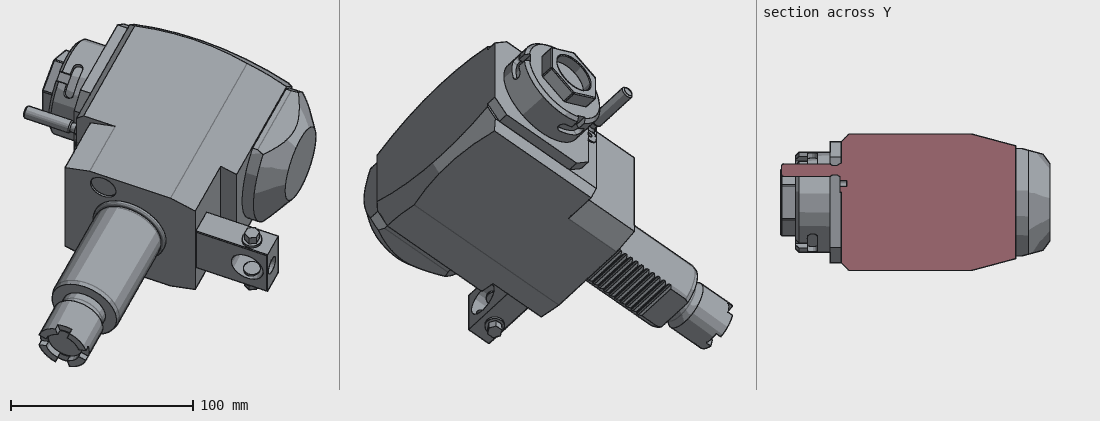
import cadquery as cq
import math


HALF_HEIGHT = 37.5
BACK_Y = 114.0
STEP_Y = 35.0
SPINDLE_Y = 80.0
LEFT_X = -47.4
RIGHT_X = 48.5
FRONT_HALF_WIDTH = 39.0
TAPER_START_X = 24.2
TAPER_DEGREES = 15.0
LEFT_CHAMFER = 4.3
BACK_RIGHT_CHAMFER = 3.2
BACK_CONE_X = -9.5
BACK_CONE_RADIUS = 140.0
BACK_BEVEL = 4.8
PLUG_X = -16.1
PLUG_Z = 27.6
PLUG_RADIUS = 7.6
PLUG_DEPTH = 1.2

SEAT_COLLAR_RADIUS = 21.5
SEAT_COLLAR_LENGTH = 2.5
SEAT_COLLAR_ROUND = 1.0
UNDERCUT_RADIUS = 19.7
UNDERCUT_END = 3.7
SHANK_RADIUS = 20.0
SHANK_LENGTH = 63.0
SHANK_CHAMFER_LENGTH = 2.4
SHANK_CHAMFER_DEPTH = 0.7
FLAT_Z = -15.9
FLAT_RAMP_START = 5.6
FLAT_START = 8.7
TOOTH_COUNT = 10
TOOTH_PITCH = 4.0
FIRST_TOOTH = 11.9
TOOTH_DEPTH = 1.2
TOOTH_ROOT_WIDTH = 1.2
TOOTH_MOUTH_WIDTH = 3.6

NECK_RADIUS = 12.7
NECK_END = 67.2
NECK_ARC_RISE = 0.5
COUPLING_START = 71.0
COUPLING_END = 93.0
COUPLING_RADIUS = 14.65
COUPLING_SLOT_DEPTH = 3.3
COUPLING_BORE_RADIUS = 10.1
COUPLING_BORE_DEPTH = 3.8
SLOT_HALF_ANGLE = 16.5

FLANGE_LEFT_X = -53.5
FLANGE_HALF_WIDTH = 34.0
FLANGE_HALF_HEIGHT = 33.3
FLANGE_CHAMFER = 8.6
NUT_LEFT_X = -72.6
NUT_RADIUS = 27.5
NUT_CHAMFER = 2.0
NUT_NOTCH_COUNT = 3
NUT_NOTCH_WIDTH = 5.6
NUT_NOTCH_DEPTH = 3.0
NUT_SLOT_X = -63.1
NUT_SLOT_HALF_ANGLE = 21.0
HEX_LEFT_X = -80.6
HEX_ACROSS_FLATS = 32.4
HEX_CHAMFER = 0.6
HEX_CORNER_CHAMFER = 0.55
HEX_BORE_CHAMFER = 0.5
HEX_BORE_RADIUS = 12.0
HEX_BORE_DEPTH = 6.0

CAP_RADIUS = 37.5
CAP_CONE_X = 55.3
CAP_RIGHT_X = 67.2
CAP_END_RADIUS = 21.2
CAP_BACK_Y = 110.0
CAP_FLAT_Z = 29.6
CAP_TAPER_X = 51.5

ARM_RIGHT_X = 81.9
ARM_HALF_HEIGHT = 15.6
ARM_FRONT_Y = 0.5
ARM_BACK_Y = 15.6
ARM_CHAMFER = 0.5
ARM_HOLE_X = 69.9
ARM_HOLE_RADIUS = 9.5
SCREW_Y = 7.0
ARM_END_HOLE_RADIUS = 5.0
SCREW_RADIUS = 4.7
SCREW_TIP_Z = 8.0
SCREW_FLANGE_RADIUS = 5.4
SCREW_FLANGE_HEIGHT = 1.5
SCREW_ACROSS_FLATS = 7.2
SCREW_TOP_Z = 22.2

PIN_Y = 40.3
PIN_Z = 17.6
PIN_LEFT_X = -80.2
PIN_RIGHT_X = -52.5
PIN_RADIUS = 3.6
PIN_CHAMFER = 0.8
PIN_NECK_RADIUS = 2.7
PIN_FLARE_X = -49.7
PIN_FLARE_RADIUS = 4.2
DISC_Z = 10.4
DISC_RADIUS = 5.0
DISC_PROUD = 0.7
DISC_HOLE_RADIUS = 1.5
DISC_HOLE_DEPTH = 3.0

CUT_MARGIN = 1.0
TAPER_SLOPE = math.tan(math.radians(TAPER_DEGREES))


def taper_height(x):
    """Half height of the housing on its tapered stretch."""
    return HALF_HEIGHT - (x - TAPER_START_X) * TAPER_SLOPE


def prism_along_y(points, y_start, y_end):
    """Prism of an XZ outline between two Y positions."""
    return cq.Workplane("XZ", origin=(0, y_start, 0)).polyline(points).close().extrude(y_start - y_end)


def mirrored_outline(upper):
    """Close an upper XZ outline with its mirror image below Z = 0."""
    return upper + [(x, -z) for x, z in reversed(upper)]


def rod_along_x(x_start, x_end, radius, y, z):
    return cq.Workplane("YZ", origin=(x_start, y, z)).circle(radius).extrude(x_end - x_start)


def revolve_about_x(profile, y, z):
    """Revolve an (X, radius) profile about the line through (y, z) along X."""
    axis_plane = cq.Workplane("XY", origin=(0, y, z))
    return axis_plane.polyline(profile).close().revolve(360, (0, 0, 0), (1, 0, 0))


def back_bevel_cone(side):
    """Large cone that bevels the back edge on the upper (+1) or lower (-1) side."""
    height = BACK_Y - STEP_Y
    small_radius = BACK_CONE_RADIUS - BACK_BEVEL
    axis_z = side * (HALF_HEIGHT - BACK_CONE_RADIUS)
    return cq.Workplane(cq.Solid.makeCone(
        small_radius + height,
        small_radius,
        height,
        cq.Vector(BACK_CONE_X, STEP_Y, axis_z),
        cq.Vector(0, 1, 0),
    ))


def housing():
    rear_outline = mirrored_outline([
        (LEFT_X, HALF_HEIGHT - LEFT_CHAMFER),
        (LEFT_X + LEFT_CHAMFER, HALF_HEIGHT),
        (TAPER_START_X, HALF_HEIGHT),
        (RIGHT_X, taper_height(RIGHT_X)),
    ])
    rear = prism_along_y(rear_outline, STEP_Y, BACK_Y)
    rear = rear.edges("|Z and >X and >Y").chamfer(BACK_RIGHT_CHAMFER)
    for side in (1, -1):
        rear = rear.intersect(back_bevel_cone(side))

    front_outline = mirrored_outline([
        (-FRONT_HALF_WIDTH, taper_height(FRONT_HALF_WIDTH)),
        (-TAPER_START_X, HALF_HEIGHT),
        (TAPER_START_X, HALF_HEIGHT),
        (FRONT_HALF_WIDTH, taper_height(FRONT_HALF_WIDTH)),
    ])
    front = prism_along_y(front_outline, 0, STEP_Y)
    plug_recess = cq.Workplane("XZ", origin=(PLUG_X, 0, PLUG_Z)).circle(PLUG_RADIUS).extrude(-PLUG_DEPTH)
    return rear.union(front).cut(plug_recess)


def shank_body():
    """Collar, shank, neck and coupling head as one turned piece."""
    chamfer_start = SHANK_LENGTH - SHANK_CHAMFER_LENGTH
    arc_middle = (NECK_RADIUS + NECK_ARC_RISE, -(NECK_END + COUPLING_START) / 2)
    round_corner = SEAT_COLLAR_ROUND * math.sqrt(0.5)
    round_middle = (
        SEAT_COLLAR_RADIUS - SEAT_COLLAR_ROUND + round_corner,
        -(SEAT_COLLAR_LENGTH - SEAT_COLLAR_ROUND + round_corner),
    )
    profile = (
        cq.Workplane("XY")
        .lineTo(SEAT_COLLAR_RADIUS, 0)
        .lineTo(SEAT_COLLAR_RADIUS, SEAT_COLLAR_ROUND - SEAT_COLLAR_LENGTH)
        .threePointArc(round_middle, (SEAT_COLLAR_RADIUS - SEAT_COLLAR_ROUND, -SEAT_COLLAR_LENGTH))
        .lineTo(UNDERCUT_RADIUS, -SEAT_COLLAR_LENGTH)
        .lineTo(SHANK_RADIUS, -UNDERCUT_END)
        .lineTo(SHANK_RADIUS, -chamfer_start)
        .lineTo(SHANK_RADIUS - SHANK_CHAMFER_DEPTH, -SHANK_LENGTH)
        .lineTo(NECK_RADIUS, -SHANK_LENGTH)
        .lineTo(NECK_RADIUS, -NECK_END)
        .threePointArc(arc_middle, (COUPLING_RADIUS, -COUPLING_START))
        .lineTo(COUPLING_RADIUS, -COUPLING_END)
        .lineTo(0, -COUPLING_END)
        .close()
    )
    return profile.revolve(360, (0, 0, 0), (0, 1, 0))


def prism_across_shank(points):
    """Prism of a YZ outline, wide enough to span the shank."""
    return cq.Workplane("YZ").polyline(points).close().extrude(SHANK_RADIUS, both=True)


def toothed_flat():
    """Material removed for the clamping flat under the shank and its rack teeth."""
    removed = prism_across_shank([
        (-FLAT_RAMP_START, -SHANK_RADIUS),
        (-FLAT_START, FLAT_Z),
        (-SHANK_LENGTH, FLAT_Z),
        (-SHANK_LENGTH, -SHANK_RADIUS),
    ])
    for index in range(TOOTH_COUNT):
        y = -(FIRST_TOOTH + index * TOOTH_PITCH)
        removed = removed.union(prism_across_shank([
            (y - TOOTH_MOUTH_WIDTH / 2, FLAT_Z),
            (y - TOOTH_ROOT_WIDTH / 2, FLAT_Z + TOOTH_DEPTH),
            (y + TOOTH_ROOT_WIDTH / 2, FLAT_Z + TOOTH_DEPTH),
            (y + TOOTH_MOUTH_WIDTH / 2, FLAT_Z),
        ]))
    return removed


def coupling_recesses():
    """End bore and four radial wedge slots of the coupling head."""
    end_plane = cq.Workplane("XZ", origin=(0, -COUPLING_END, 0))
    removed = end_plane.circle(COUPLING_BORE_RADIUS).extrude(-COUPLING_BORE_DEPTH)
    reach = COUPLING_RADIUS + CUT_MARGIN
    half_width = reach * math.tan(math.radians(SLOT_HALF_ANGLE))
    wedge = end_plane.polyline([(0, 0), (reach, half_width), (reach, -half_width)]).close()
    wedge = wedge.extrude(-COUPLING_SLOT_DEPTH)
    for quarter in range(4):
        removed = removed.union(wedge.rotate((0, 0, 0), (0, 1, 0), 90 * quarter))
    return removed


def shank():
    return shank_body().cut(toothed_flat()).cut(coupling_recesses())


def flange():
    plane = cq.Workplane("YZ", origin=(FLANGE_LEFT_X, SPINDLE_Y, 0))
    plate = plane.rect(2 * FLANGE_HALF_WIDTH, 2 * FLANGE_HALF_HEIGHT).extrude(LEFT_X - FLANGE_LEFT_X)
    return plate.edges("|X").chamfer(FLANGE_CHAMFER)


def nut_slot():
    """Curved slot and open notch in the nut rim, centred on the +Y direction."""
    floor_radius = NUT_RADIUS - NUT_NOTCH_DEPTH
    outer_radius = NUT_RADIUS + CUT_MARGIN
    half_width = NUT_NOTCH_WIDTH / 2
    end_half_angle = NUT_SLOT_HALF_ANGLE - math.degrees(half_width / NUT_RADIUS)
    sweep = math.radians(end_half_angle)
    chord = (2 * outer_radius * math.cos(sweep), 2 * outer_radius * math.sin(sweep))
    sector = (
        cq.Workplane("YZ", origin=(NUT_SLOT_X - half_width, SPINDLE_Y, 0))
        .polyline([(0, 0), chord, (chord[0], -chord[1])])
        .close()
        .extrude(NUT_NOTCH_WIDTH)
    )
    ring = rod_along_x(NUT_SLOT_X - half_width, NUT_SLOT_X + half_width, outer_radius, SPINDLE_Y, 0)
    ring = ring.cut(
        rod_along_x(NUT_SLOT_X - half_width, NUT_SLOT_X + half_width, floor_radius, SPINDLE_Y, 0))
    removed = ring.intersect(sector)
    spindle_start = (NUT_SLOT_X, SPINDLE_Y, 0)
    spindle_end = (NUT_SLOT_X + 1, SPINDLE_Y, 0)
    slot_end = (
        cq.Workplane("XZ", origin=(NUT_SLOT_X, SPINDLE_Y, 0))
        .circle(half_width)
        .extrude(-outer_radius)
    )
    for angle in (end_half_angle, -end_half_angle):
        end_piece = slot_end.rotate(spindle_start, spindle_end, angle).intersect(ring)
        removed = removed.union(end_piece)
    notch_length = NUT_SLOT_X - NUT_LEFT_X
    notch = cq.Workplane("XY").box(
        notch_length, outer_radius - floor_radius, NUT_NOTCH_WIDTH, centered=(False, False, True))
    return removed.union(notch.translate((NUT_LEFT_X, SPINDLE_Y + floor_radius, 0)))


def nut():
    body = revolve_about_x([
        (FLANGE_LEFT_X, 0),
        (FLANGE_LEFT_X, NUT_RADIUS),
        (NUT_LEFT_X + NUT_CHAMFER, NUT_RADIUS),
        (NUT_LEFT_X, NUT_RADIUS - NUT_CHAMFER),
        (NUT_LEFT_X, 0),
    ], SPINDLE_Y, 0)
    slot = nut_slot()
    for index in range(NUT_NOTCH_COUNT):
        angle = 360 / NUT_NOTCH_COUNT * index
        body = body.cut(slot.rotate((0, SPINDLE_Y, 0), (1, SPINDLE_Y, 0), angle))
    return body


def hexagon():
    corner_diameter = HEX_ACROSS_FLATS / math.cos(math.pi / 6)
    plane = cq.Workplane("YZ", origin=(HEX_LEFT_X, SPINDLE_Y, 0)).transformed(rotate=(0, 0, 30))
    body = plane.polygon(6, corner_diameter).extrude(NUT_LEFT_X - HEX_LEFT_X)
    body = body.edges("|X").chamfer(HEX_CORNER_CHAMFER)
    body = body.faces("<X").chamfer(HEX_CHAMFER)
    bore = revolve_about_x([
        (HEX_LEFT_X, 0),
        (HEX_LEFT_X, HEX_BORE_RADIUS + HEX_BORE_CHAMFER),
        (HEX_LEFT_X + HEX_BORE_CHAMFER, HEX_BORE_RADIUS),
        (HEX_LEFT_X + HEX_BORE_DEPTH, HEX_BORE_RADIUS),
        (HEX_LEFT_X + HEX_BORE_DEPTH, 0),
    ], SPINDLE_Y, 0)
    return body.cut(bore)


def rear_cap():
    turned = revolve_about_x([
        (RIGHT_X, 0),
        (RIGHT_X, CAP_RADIUS),
        (CAP_CONE_X, CAP_RADIUS),
        (CAP_RIGHT_X, CAP_END_RADIUS),
        (CAP_RIGHT_X, 0),
    ], SPINDLE_Y, 0)
    end_height = CAP_FLAT_Z - (CAP_RIGHT_X - CAP_TAPER_X) * TAPER_SLOPE
    envelope_outline = mirrored_outline([
        (RIGHT_X, CAP_FLAT_Z),
        (CAP_TAPER_X, CAP_FLAT_Z),
        (CAP_RIGHT_X, end_height),
    ])
    return turned.intersect(prism_along_y(envelope_outline, SPINDLE_Y - CAP_RADIUS, CAP_BACK_Y))


def arm_screw():
    """Flanged hexagon screw on top of the arm, its tip reaching into the main hole."""
    plane = cq.Workplane("XY", origin=(ARM_HOLE_X, SCREW_Y, ARM_HALF_HEIGHT))
    corner_diameter = SCREW_ACROSS_FLATS / math.cos(math.pi / 6)
    head = plane.transformed(rotate=(0, 0, 30)).polygon(6, corner_diameter)
    head = head.extrude(SCREW_TOP_Z - ARM_HALF_HEIGHT)
    washer = plane.circle(SCREW_FLANGE_RADIUS).extrude(SCREW_FLANGE_HEIGHT)
    stem = plane.circle(SCREW_RADIUS).extrude(SCREW_TIP_Z - ARM_HALF_HEIGHT)
    return stem.union(washer).union(head)


def arm():
    body = cq.Workplane("XY").box(
        ARM_RIGHT_X - FRONT_HALF_WIDTH,
        ARM_BACK_Y - ARM_FRONT_Y,
        2 * ARM_HALF_HEIGHT,
        centered=(False, False, True),
    ).translate((FRONT_HALF_WIDTH, ARM_FRONT_Y, 0))
    body = body.faces("<Y").chamfer(ARM_CHAMFER)
    main_hole = (
        cq.Workplane("XZ", origin=(ARM_HOLE_X, ARM_FRONT_Y, 0))
        .circle(ARM_HOLE_RADIUS)
        .extrude(ARM_FRONT_Y - ARM_BACK_Y)
    )
    end_hole = rod_along_x(ARM_HOLE_X, ARM_RIGHT_X, ARM_END_HOLE_RADIUS, SCREW_Y, 0)
    screw = arm_screw()
    body = body.cut(main_hole).cut(end_hole)
    return body.union(screw).union(screw.mirror("XY"))


def nozzle_disc():
    disc = rod_along_x(LEFT_X - DISC_PROUD, LEFT_X, DISC_RADIUS, PIN_Y, DISC_Z)
    hole = rod_along_x(LEFT_X - DISC_PROUD, LEFT_X + DISC_HOLE_DEPTH, DISC_HOLE_RADIUS, PIN_Y, DISC_Z)
    return disc, hole


def pin():
    return revolve_about_x([
        (LEFT_X, 0),
        (LEFT_X, PIN_FLARE_RADIUS),
        (PIN_FLARE_X, PIN_NECK_RADIUS),
        (PIN_RIGHT_X, PIN_NECK_RADIUS),
        (PIN_RIGHT_X, PIN_RADIUS - PIN_CHAMFER),
        (PIN_RIGHT_X - PIN_CHAMFER, PIN_RADIUS),
        (PIN_LEFT_X + PIN_CHAMFER, PIN_RADIUS),
        (PIN_LEFT_X, PIN_RADIUS - PIN_CHAMFER),
        (PIN_LEFT_X, 0),
    ], PIN_Y, PIN_Z)


disc, disc_hole = nozzle_disc()
result = housing()
for piece in (shank(), flange(), nut(), hexagon(), rear_cap(), arm(), disc):
    result = result.union(piece)
result = result.cut(disc_hole).union(pin())